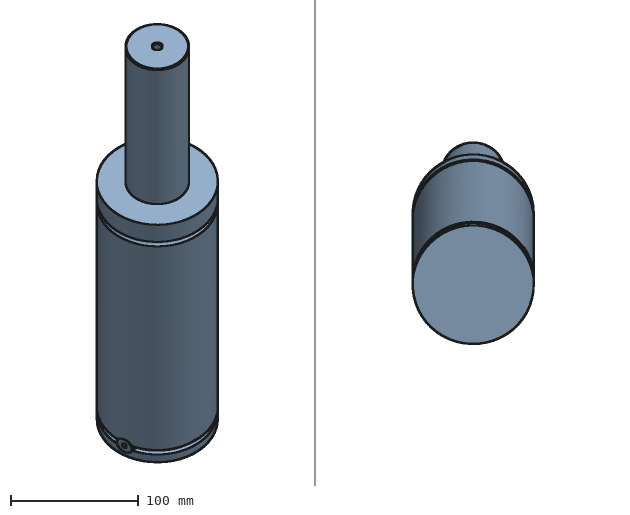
import cadquery as cq

total_height = 420.0
body_diameter = 95.0
body_height = 268.0
rod_diameter = 50.0
rod_chamfer = 1.0
body_radius = body_diameter / 2

upper_groove_height = 246.0
upper_groove_radius = 2.5

lower_groove_bottom = 9.0
lower_groove_width = 5.0
lower_groove_depth = 4.0

rod_hole_diameter = 6.7
rod_hole_depth = 12.5
rod_hole_countersink_diameter = 8.5
countersink_angle = 90
drill_tip_height = 2.0

port_height = 11.0
port_diameter = 16.0
port_face_diameter = 14.0
port_chamfer = (port_diameter - port_face_diameter) / 2
port_length = 12.5
port_dimple_diameter = 4.0
port_dimple_depth = 2.0


def make_cylinder_and_rod():
    body = cq.Workplane("XY").circle(body_radius).extrude(body_height)
    rod = (
        cq.Workplane("XY", origin=(0, 0, body_height))
        .circle(rod_diameter / 2)
        .extrude(total_height - body_height)
        .faces(">Z")
        .chamfer(rod_chamfer)
    )
    return body.union(rod)


def make_upper_groove():
    return (
        cq.Workplane("XZ")
        .center(body_radius, upper_groove_height)
        .circle(upper_groove_radius)
        .revolve(360, (-body_radius, 0), (-body_radius, 1))
    )


def make_lower_groove():
    return (
        cq.Workplane("XY", origin=(0, 0, lower_groove_bottom))
        .circle(body_radius)
        .circle(body_radius - lower_groove_depth)
        .extrude(lower_groove_width)
    )


def add_port(part):
    front_plane = cq.Workplane("XZ", origin=(0, -body_radius, port_height))
    port = (
        front_plane.circle(port_diameter / 2)
        .extrude(-port_length)
        .faces("<Y")
        .chamfer(port_chamfer)
    )
    dimple = cq.Workplane(
        cq.Solid.makeCone(
            port_dimple_diameter / 2,
            0,
            port_dimple_depth,
            pnt=cq.Vector(0, -body_radius, port_height),
            dir=cq.Vector(0, 1, 0),
        )
    )
    return part.union(port).cut(dimple)


def cut_rod_hole(part):
    drilled = (
        part.faces(">Z")
        .workplane(origin=(0, 0, total_height))
        .cskHole(rod_hole_diameter, rod_hole_countersink_diameter, countersink_angle, rod_hole_depth)
    )
    tip = cq.Workplane(
        cq.Solid.makeCone(
            0,
            rod_hole_diameter / 2,
            drill_tip_height,
            pnt=cq.Vector(0, 0, total_height - rod_hole_depth - drill_tip_height),
        )
    )
    return drilled.cut(tip)


grooved = make_cylinder_and_rod().cut(make_upper_groove()).cut(make_lower_groove())
result = cut_rod_hole(add_port(grooved))